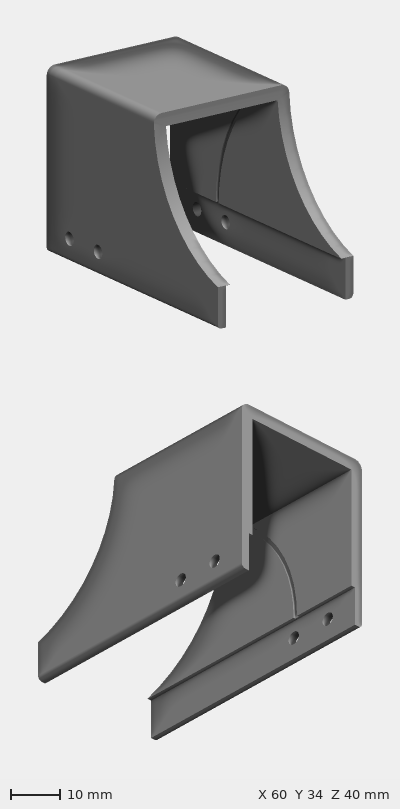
import cadquery as cq

length = 60.0
width = 34.0
height = 40.0

wall = 3.0
top_fillet = 2.0
bottom_fillet = 1.0
rebate_height = 9.0
rebate_depth = 1.0

scallop_center_x = 70.0
scallop_radius = 32.5

hole_diameter = 3.0
hole_height = 5.0
hole_positions = (8.0, 18.0)

groove_width = 1.0
groove_depth = 0.5
groove_outer_radius = 35.0
groove_start_x = 16.0
groove_center_x = groove_start_x + groove_outer_radius

inner_half_width = width / 2 - wall


def centered_box(size_x, size_y, size_z):
    """Box starting at X = 0 and Z = 0, centred on Y = 0."""
    return cq.Workplane("XY").box(size_x, size_y, size_z, centered=(False, True, False))


def cylinder_along_y(x, z, radius, y_start, y_end):
    """Cylinder parallel to Y between two Y positions."""
    start_plane = cq.Workplane("XZ", origin=(x, y_start, z))
    return start_plane.circle(radius).extrude(y_start - y_end)


def make_channel():
    """Downward-opening channel with rounded outer edges and rebated legs."""
    outer = centered_box(length, width, height)
    outer = outer.edges("|X and >Z").fillet(top_fillet)
    outer = outer.edges("|X and <Z").fillet(bottom_fillet)
    cavity = centered_box(length, 2 * inner_half_width, height - wall)
    rebate = centered_box(length, 2 * (inner_half_width + rebate_depth), rebate_height)
    return outer.cut(cavity).cut(rebate)


def make_grooves():
    """Ring sector that cuts both inner side faces, from the rebate up to the top plate."""
    groove_half_width = inner_half_width + groove_depth
    span = (-groove_half_width, groove_half_width)
    inner_radius = groove_outer_radius - groove_width
    ring = cylinder_along_y(groove_center_x, rebate_height, groove_outer_radius, *span)
    ring = ring.cut(cylinder_along_y(groove_center_x, rebate_height, inner_radius, *span))
    sector = centered_box(groove_center_x, width, height - wall)
    return ring.intersect(sector)


result = make_channel().cut(make_grooves())
result = result.cut(cylinder_along_y(scallop_center_x, height, scallop_radius, -width / 2, width / 2))
for hole_x in hole_positions:
    hole = cylinder_along_y(hole_x, hole_height, hole_diameter / 2, -width / 2, width / 2)
    result = result.cut(hole)